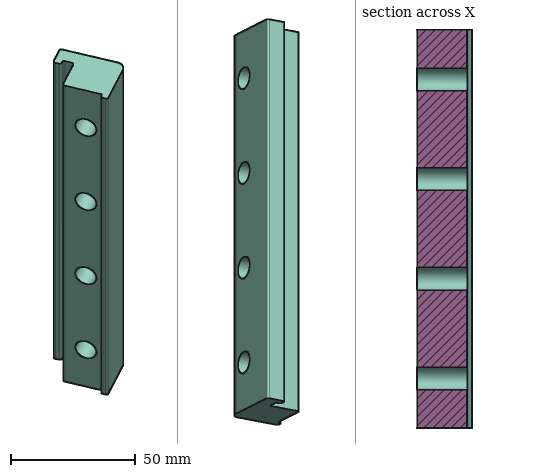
import cadquery as cq

width = 28.0
depth = 22.0
length = 160.0

hook_width = 3.5
hook_depth = 8.5
shelf_depth = 6.2
body_left = 8.2
body_depth = 20.2
lip_width = 3.0

back_corner_radius = 3.5
edge_radius = 1.0
hook_root_radius = 0.6
lip_root_radius = 0.5

hole_diameter = 9.0
hole_x = 18.0
hole_count = 4
hole_pitch = length / hole_count

lip_left = width - lip_width

section_corners = [
    (0, 0, edge_radius),
    (0, -hook_depth, edge_radius),
    (hook_width, -hook_depth, edge_radius),
    (hook_width, -shelf_depth, hook_root_radius),
    (body_left, -shelf_depth, edge_radius),
    (body_left, -body_depth, edge_radius),
    (lip_left, -body_depth, lip_root_radius),
    (lip_left, -depth, edge_radius),
    (width, -depth, edge_radius),
    (width, 0, back_corner_radius),
]


def make_bar():
    """Extrude the section along Z and round its long edges."""
    outline = [(x, y) for x, y, _ in section_corners]
    bar = cq.Workplane("XY").polyline(outline).close().extrude(length)
    for x, y, radius in section_corners:
        edge_middle = (x, y, length / 2)
        bar = bar.edges(cq.selectors.NearestToPointSelector(edge_middle)).fillet(radius)
    return bar


def make_holes():
    """Cylinders along Y, evenly spaced over the length of the bar."""
    centers = [(hole_x, (i + 0.5) * hole_pitch) for i in range(hole_count)]
    return cq.Workplane("XZ").pushPoints(centers).circle(hole_diameter / 2).extrude(depth)


result = make_bar().cut(make_holes())